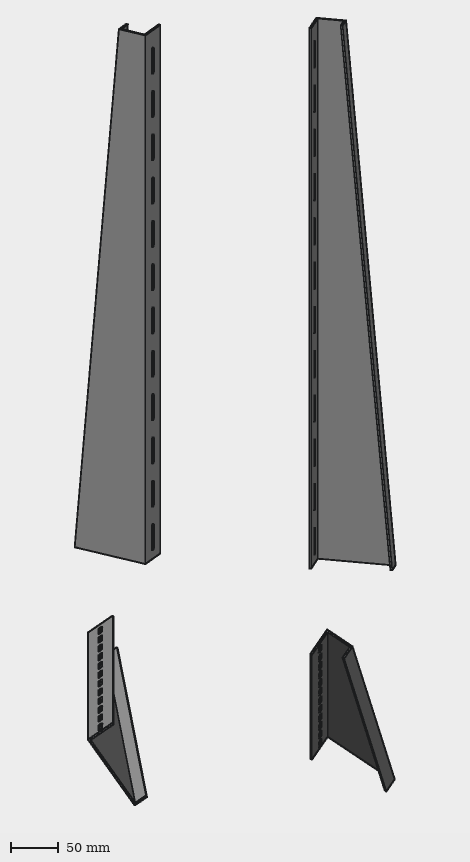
import cadquery as cq
import math

total_height = 610.5
bottom_width = 86.0
top_width = 32.5
flange_depth = 32.0
lip_depth = 16.0
sheet = 2.15

slot_count = 12
first_slot_z = 25.0
last_slot_z = 575.0
slot_length = 30.0
slot_width = 5.0
slot_pitch = (last_slot_z - first_slot_z) / (slot_count - 1)

slope_run = bottom_width - top_width
slope_angle = math.atan2(slope_run, total_height)
lip_dip = sheet * math.sin(slope_angle)
web_height = total_height - lip_dip
slope_length = web_height / math.cos(slope_angle)


def front_web():
    """Tapered plate in the XZ plane, straight edge at +X."""
    top_left = web_height * math.tan(slope_angle)
    outline = [(0, 0), (bottom_width, 0), (bottom_width, web_height), (top_left, web_height)]
    return cq.Workplane("XZ").polyline(outline).close().extrude(-sheet)


def straight_flange():
    """Deep flange along the vertical edge."""
    flange = cq.Workplane("XY").box(sheet, flange_depth, web_height, centered=False)
    return flange.translate((bottom_width - sheet, 0, 0))


def sloped_lip():
    """Short lip behind the web's sloping edge, its ends cut square to the slope."""
    lip = cq.Workplane("XY").box(sheet, lip_depth - sheet, slope_length, centered=False)
    lip = lip.translate((0, sheet, 0))
    return lip.rotate((0, 0, 0), (0, 1, 0), math.degrees(slope_angle))


def slots():
    """Cutters for the evenly spaced round-ended slots."""
    cutter_depth = 3 * sheet
    flange_middle = (bottom_width - sheet / 2, flange_depth / 2, 0)
    centres = [(0, first_slot_z + i * slot_pitch) for i in range(slot_count)]
    return (
        cq.Workplane("YZ", origin=flange_middle)
        .pushPoints(centres)
        .slot2D(slot_length, slot_width, 90)
        .extrude(cutter_depth / 2, both=True)
    )


result = front_web().union(straight_flange()).union(sloped_lip()).cut(slots())